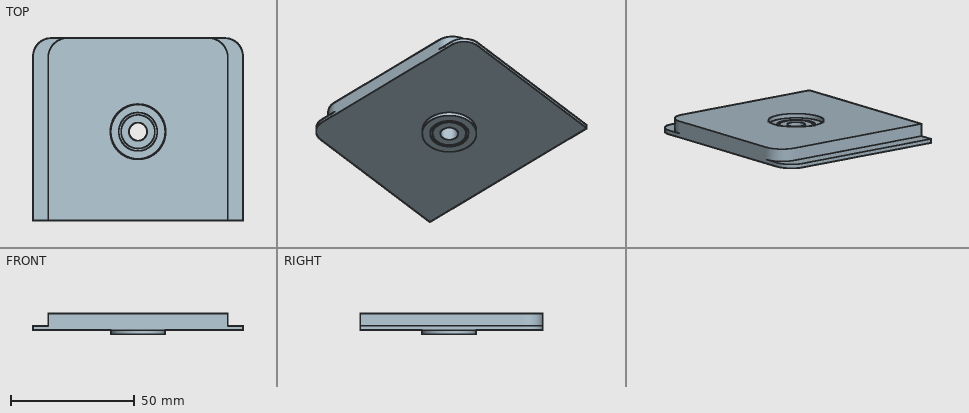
import cadquery as cq

plate_width = 85.2
plate_depth = 74.0
plate_thickness = 6.8
flange_thickness = 1.7
block_width = 72.85
flange_corner_radius = 7.5
block_corner_radius = 8.0
clearance_diameter = 22.5
bearing_center_from_front = 36.0

bearing_bottom = -1.7
bearing_height = 6.8
outer_race_diameter = 22.0
outer_race_bore = 15.6
inner_race_diameter = 13.6
shaft_bore = 7.2
shield_recess = 0.85

plate_center_y = plate_depth / 2 - bearing_center_from_front


def rounded_slab(width, thickness, corner_radius):
    """Slab on Z = 0 with its two rear vertical edges rounded."""
    return (
        cq.Workplane("XY")
        .center(0, plate_center_y)
        .rect(width, plate_depth)
        .extrude(thickness)
        .edges("|Z and >Y")
        .fillet(corner_radius)
    )


def make_plate():
    """Flanged plate with a bearing seat that opens into a wider clearance hole."""
    flange = rounded_slab(plate_width, flange_thickness, flange_corner_radius)
    block = rounded_slab(block_width, plate_thickness, block_corner_radius)
    seat = cq.Workplane("XY").circle(outer_race_diameter / 2).extrude(plate_thickness)
    clearance = (
        cq.Workplane("XY")
        .workplane(offset=flange_thickness)
        .circle(clearance_diameter / 2)
        .extrude(plate_thickness - flange_thickness)
    )
    return flange.union(block).cut(seat).cut(clearance)


def make_ring(outer_diameter, inner_diameter, end_recess=0.0):
    """Ring on the bearing axis, set back from both bearing faces by end_recess."""
    return (
        cq.Workplane("XY")
        .workplane(offset=bearing_bottom + end_recess)
        .circle(outer_diameter / 2)
        .circle(inner_diameter / 2)
        .extrude(bearing_height - 2 * end_recess)
    )


plate = make_plate()
outer_race = make_ring(outer_race_diameter, outer_race_bore)
inner_race = make_ring(inner_race_diameter, shaft_bore)
shield = make_ring(outer_race_bore, inner_race_diameter, shield_recess)

result = cq.Compound.makeCompound([plate.val(), outer_race.val(), inner_race.val(), shield.val()])